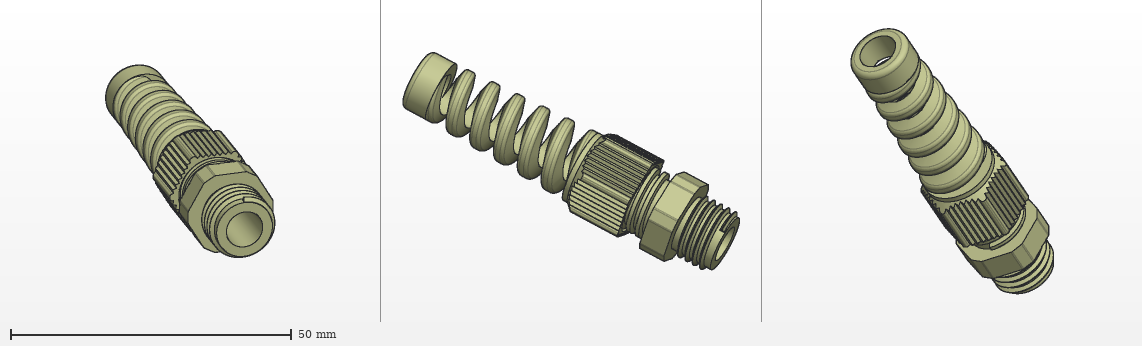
import cadquery as cq
import math


cap_end = 5.1
flange_start = 33.9
flange_end = 34.9
nut_shoulder = 36.2
nut_end = 46.1
hex_start = 50.55
hex_end = 55.5
total_length = 63.5

cap_diameter = 11.3
cap_rounding = 1.0
spiral_bore = 7.0
spiral_turns = 5.75
spiral_pitch = (flange_start - cap_end) / spiral_turns
spiral_crest_width = 1.9
spiral_crest_rounding = 0.7
spiral_flank_angle = 17.0
spiral_crest_on_top = 9.1
spiral_overlap = 2.55

flange_diameter = 13.6
nut_across_flats = 15.0
nut_across_corners = 16.7
nut_cone_angle = 45.0
nut_bore = 13.35
knurl_grooves_per_flat = 7
knurl_depth = 0.5
ridge_rounding = 0.5

core_diameter = 10.5
body_bore = 6.8
hex_across_flats = 15.0
hex_across_corner_flats = 15.95
hex_edge_rounding = 0.5

nut_thread_diameter = 12.5
nut_thread_pitch = 1.85
nut_thread_root_width = 1.3
nut_thread_crest_width = 0.75
nut_thread_start = 38.1
nut_thread_end = 49.45
nut_thread_crest_on_top = 48.5

end_thread_diameter = 12.0
end_thread_root_width = 1.1
end_thread_crest_width = 0.1
end_thread_start = 56.5
end_thread_end = 62.85
end_thread_turns = 4.25
end_thread_pitch = (end_thread_end - end_thread_start) / end_thread_turns

root_overlap = 0.2


def cylinder(start, end, diameter):
    """Round bar along X."""
    return cq.Workplane("YZ", origin=(start, 0, 0)).circle(diameter / 2).extrude(end - start)


def hexagon(start, end, across_flats, turn=0):
    """Hexagonal bar along X with corners on the Y axis, turned about X by an angle."""
    across_corners = across_flats / math.cos(math.radians(30))
    bar = cq.Workplane("YZ", origin=(start, 0, 0)).polygon(6, across_corners).extrude(end - start)
    return bar.rotate((0, 0, 0), (1, 0, 0), turn)


def helical_ridge(profile, start, end, radius, pitch, crest_on_top, taper=None):
    """Right-handed ridge along X whose crest crosses the +Z side at crest_on_top.

    The profile is a closed sketch on the XZ plane: local X is the radius, local Z the axis.
    """
    if taper is None:
        helix = cq.Wire.makeHelix(pitch, end - start, radius)
    else:
        helix = cq.Wire.makeHelix(pitch, end - start, radius, angle=taper)
    ridge = profile.sweep(cq.Workplane(obj=helix), isFrenet=True)
    ridge = ridge.rotate((0, 0, 0), (0, 1, 0), 90).translate((start, 0, 0))
    start_angle = 180 + 360 * (start - crest_on_top) / pitch
    return ridge.rotate((0, 0, 0), (1, 0, 0), start_angle)


def ridge_profile(root_radius, crest_radius, root_width, crest_width, rounding=0):
    """Trapezoid with its wide side at the root radius and, if asked for, a rounded crest."""
    outline = cq.Workplane("XZ").moveTo(root_radius, -root_width / 2)
    if not rounding:
        outline = outline.lineTo(crest_radius, -crest_width / 2).lineTo(crest_radius, crest_width / 2)
        return outline.lineTo(root_radius, root_width / 2).close()
    flank_angle = math.atan((root_width - crest_width) / 2 / (crest_radius - root_radius))
    center_radius = crest_radius - rounding
    half_flat = crest_width / 2 - rounding * math.tan(math.pi / 4 - flank_angle / 2)

    def arc_point(angle):
        """Radius and axial offset of a point on the rounding, at an angle from the crest."""
        return center_radius + rounding * math.cos(angle), half_flat + rounding * math.sin(angle)

    flank_turn = math.pi / 2 - flank_angle
    middle_radius, middle_offset = arc_point(flank_turn / 2)
    flank_radius, flank_offset = arc_point(flank_turn)
    return (
        outline
        .lineTo(flank_radius, -flank_offset)
        .threePointArc((middle_radius, -middle_offset), (crest_radius, -half_flat))
        .lineTo(crest_radius, half_flat)
        .threePointArc((middle_radius, middle_offset), (flank_radius, flank_offset))
        .lineTo(root_radius, root_width / 2)
        .close()
    )


def thread(start, end, diameter, pitch, root_width, crest_width, crest_on_top):
    """Screw thread that sinks slightly into the core of the gland body."""
    profile = ridge_profile(core_diameter / 2 - root_overlap, diameter / 2, root_width, crest_width)
    return helical_ridge(profile, start, end, diameter / 2, pitch, crest_on_top)


def make_spiral():
    """Open coil that grows from the cap diameter to the flange diameter."""
    start = cap_end - spiral_overlap
    end = flange_start + spiral_overlap
    slope = (flange_diameter - cap_diameter) / 2 / (flange_start - cap_end)
    start_radius = cap_diameter / 2 - slope * spiral_overlap
    end_radius = flange_diameter / 2 + slope * spiral_overlap
    root_radius = start_radius - (end_radius - spiral_bore / 2) - root_overlap
    root_width = spiral_crest_width + 2 * (start_radius - root_radius) * math.tan(
        math.radians(spiral_flank_angle)
    )
    profile = ridge_profile(
        root_radius, start_radius, root_width, spiral_crest_width, spiral_crest_rounding
    )
    taper = math.degrees(math.atan(slope))
    coil = helical_ridge(profile, start, end, start_radius, spiral_pitch, spiral_crest_on_top, taper)
    return coil.intersect(cylinder(cap_end, flange_start, nut_across_corners))


def knurl_outline():
    """Hexagon with V grooves across each flat and an arc round each of its six corners."""
    apothem = nut_across_flats / 2
    corner_radius = nut_across_corners / 2
    half_width = math.sqrt(corner_radius**2 - apothem**2)
    groove_pitch = 2 * half_width / knurl_grooves_per_flat

    def flat_point(flat, along, depth):
        """Point at a depth below a flat and at a distance along it, counter-clockwise."""
        turn = math.radians(90 + 60 * flat)
        out = apothem - depth
        return (
            out * math.cos(turn) - along * math.sin(turn),
            out * math.sin(turn) + along * math.cos(turn),
        )

    outline = cq.Workplane("YZ", origin=(flange_end, 0, 0)).moveTo(*flat_point(0, -half_width, 0))
    for flat in range(6):
        for groove in range(knurl_grooves_per_flat):
            groove_start = groove * groove_pitch - half_width
            outline = outline.lineTo(*flat_point(flat, groove_start + groove_pitch / 2, knurl_depth))
            outline = outline.lineTo(*flat_point(flat, groove_start + groove_pitch, 0))
        corner_turn = math.radians(120 + 60 * flat)
        corner = (corner_radius * math.cos(corner_turn), corner_radius * math.sin(corner_turn))
        outline = outline.threePointArc(corner, flat_point(flat + 1, -half_width, 0))
    return outline.close()


def make_knurled_bar():
    """Grooved hexagonal bar with rounded corner ridges and a conical front."""
    corner_radius = nut_across_corners / 2
    cone_length = (corner_radius - flange_diameter / 2) / math.tan(math.radians(nut_cone_angle))
    envelope = (
        cq.Workplane("XZ")
        .moveTo(flange_end, 0)
        .lineTo(flange_end, flange_diameter / 2)
        .lineTo(flange_end + cone_length, corner_radius)
        .lineTo(nut_end, corner_radius)
        .lineTo(nut_end, 0)
        .close()
        .revolve(360, (0, 0, 0), (1, 0, 0))
    )

    def on_corner_ridge(edge):
        return math.hypot(edge.Center().y, edge.Center().z) > corner_radius - knurl_depth / 4

    bar = knurl_outline().extrude(nut_end - flange_end)
    bar = bar.edges("|X").filter(on_corner_ridge).fillet(ridge_rounding)
    return bar.intersect(envelope)


def make_nut():
    """Knurled nut, flange, spiral and end cap in one piece, bored through."""
    cap = cylinder(0, cap_end, cap_diameter).faces("<X").edges().fillet(cap_rounding)
    flange = cylinder(flange_start, flange_end, flange_diameter)
    protector = cap.union(make_spiral()).union(flange)
    nut = protector.cut(cylinder(0, flange_end, spiral_bore))
    base = make_knurled_bar().cut(cylinder(flange_end, nut_shoulder, spiral_bore))
    return nut.union(base.cut(cylinder(nut_shoulder, nut_end, nut_bore)))


def make_body():
    """Tubular gland body with a wrench hexagon between its two threads."""
    wrench_hex = hexagon(hex_start, hex_end, hex_across_flats).intersect(
        hexagon(hex_start, hex_end, hex_across_corner_flats, 30)
    )
    wrench_hex = wrench_hex.edges("|X").fillet(hex_edge_rounding)
    nut_thread = thread(
        nut_thread_start, nut_thread_end, nut_thread_diameter, nut_thread_pitch,
        nut_thread_root_width, nut_thread_crest_width, nut_thread_crest_on_top,
    )
    end_thread = thread(
        end_thread_start, end_thread_end,
        end_thread_diameter, end_thread_pitch, end_thread_root_width, end_thread_crest_width,
        end_thread_start + end_thread_pitch / 4,
    )
    body = cylinder(nut_shoulder, total_length, core_diameter).union(wrench_hex)
    body = body.union(nut_thread).union(end_thread)
    return body.cut(cylinder(nut_shoulder, total_length, body_bore))


nut = make_nut()
body = make_body()
result = cq.Compound.makeCompound([nut.val(), body.val()])